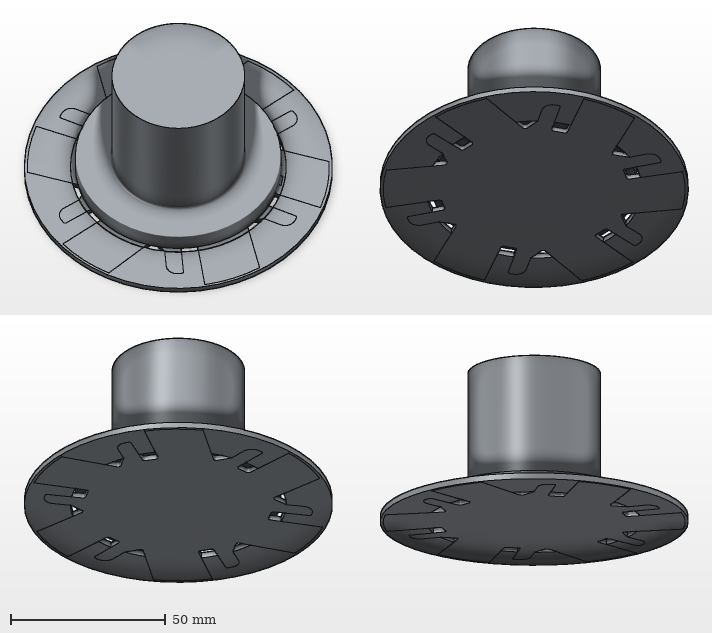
import cadquery as cq
import math

PLATE_DIAMETER = 99.9
PLATE_THICKNESS = 2.0
PLATE_HOLE_DIAMETER = 69.9
SKIN_THICKNESS = 0.25

TOTAL_HEIGHT = 50.0
GRIP_DIAMETER = 43.0
FLANGE_DIAMETER = 66.7
FLANGE_TOP = 7.7
FLANGE_EDGE_RADIUS = 0.2
ROOT_RADIUS = 0.8

SECTOR_COUNT = 6
SECTOR_ANGLE = 360.0 / SECTOR_COUNT
LUG_HEIGHT = PLATE_THICKNESS - SKIN_THICKNESS
BASE_DIAMETER = 60.9
BASE_SEAM_ANGLE = 20.0
NOTCH_ROOT_RADIUS = 1.0
NOTCH_ROOT_LIMIT = 32.0
LUG_ROOT_X = 20.0

WIDE_LUG_RADIUS = 48.9
WIDE_LUG_LOW_Y = 2.8
WIDE_LUG_LOW_SLOPE = 4.0
WIDE_LUG_HIGH_Y = 19.6
WIDE_LUG_HIGH_SLOPE = 8.5

FINGER_TIP_X = 43.5
FINGER_NEAR_Y = -1.7
FINGER_FAR_Y = -7.1
FINGER_TIP_NEAR_RADIUS = 0.7
FINGER_TIP_FAR_RADIUS = 3.5
FLARE_START_X = 34.3
FLARE_ANGLE = 30.0

GRIP_RADIUS = GRIP_DIAMETER / 2
FLANGE_RADIUS = FLANGE_DIAMETER / 2


def point_on_circle(radius, start_y, slope_angle):
    """Where a line through (LUG_ROOT_X, start_y) at slope_angle leaves a circle about the origin."""
    dx = math.cos(math.radians(slope_angle))
    dy = math.sin(math.radians(slope_angle))
    along = LUG_ROOT_X * dx + start_y * dy
    outside = LUG_ROOT_X**2 + start_y**2 - radius**2
    distance = -along + math.sqrt(along**2 - outside)
    return LUG_ROOT_X + distance * dx, start_y + distance * dy


def make_wide_lug():
    low_tip = point_on_circle(WIDE_LUG_RADIUS, WIDE_LUG_LOW_Y, WIDE_LUG_LOW_SLOPE)
    high_tip = point_on_circle(WIDE_LUG_RADIUS, WIDE_LUG_HIGH_Y, WIDE_LUG_HIGH_SLOPE)
    middle_angle = (math.atan2(low_tip[1], low_tip[0]) + math.atan2(high_tip[1], high_tip[0])) / 2
    tip_middle = (WIDE_LUG_RADIUS * math.cos(middle_angle), WIDE_LUG_RADIUS * math.sin(middle_angle))
    return (
        cq.Workplane("XY")
        .moveTo(LUG_ROOT_X, WIDE_LUG_LOW_Y)
        .lineTo(*low_tip)
        .threePointArc(tip_middle, high_tip)
        .lineTo(LUG_ROOT_X, WIDE_LUG_HIGH_Y)
        .close()
        .extrude(LUG_HEIGHT)
    )


def make_finger():
    flare_width = (FLARE_START_X - LUG_ROOT_X) * math.tan(math.radians(FLARE_ANGLE))
    outline = [
        (LUG_ROOT_X, FINGER_NEAR_Y),
        (FINGER_TIP_X, FINGER_NEAR_Y),
        (FINGER_TIP_X, FINGER_FAR_Y),
        (FLARE_START_X, FINGER_FAR_Y),
        (LUG_ROOT_X, FINGER_FAR_Y - flare_width),
    ]
    finger = cq.Workplane("XY").polyline(outline).close().extrude(LUG_HEIGHT)
    near_corner = cq.selectors.NearestToPointSelector((FINGER_TIP_X, FINGER_NEAR_Y, LUG_HEIGHT / 2))
    far_corner = cq.selectors.NearestToPointSelector((FINGER_TIP_X, FINGER_FAR_Y, LUG_HEIGHT / 2))
    finger = finger.edges("|Z").edges(near_corner).fillet(FINGER_TIP_NEAR_RADIUS)
    return finger.edges("|Z").edges(far_corner).fillet(FINGER_TIP_FAR_RADIUS)


def is_notch_root(edge):
    centre = edge.Center()
    return math.hypot(centre.x, centre.y) < NOTCH_ROOT_LIMIT


def make_lug_star():
    """Base disc with a wide lug and a finger in every sector."""
    base = cq.Workplane("XY").circle(BASE_DIAMETER / 2).extrude(LUG_HEIGHT)
    star = base.rotate((0, 0, 0), (0, 0, 1), BASE_SEAM_ANGLE)
    for sector in range(SECTOR_COUNT):
        for lug in (make_wide_lug(), make_finger()):
            star = star.union(lug.rotate((0, 0, 0), (0, 0, 1), sector * SECTOR_ANGLE))
    return star.edges("|Z").filter(is_notch_root).fillet(NOTCH_ROOT_RADIUS)


def make_root_ring(wall_radius, floor_z):
    """Ring that fillets the corner between a round wall and the level floor around it."""
    arc_centre_r = wall_radius + ROOT_RADIUS
    arc_centre_z = floor_z + ROOT_RADIUS
    arc_reach = ROOT_RADIUS * math.sqrt(0.5)
    overlap_r = wall_radius - ROOT_RADIUS
    return (
        cq.Workplane("XZ")
        .moveTo(overlap_r, floor_z)
        .lineTo(arc_centre_r, floor_z)
        .threePointArc((arc_centre_r - arc_reach, arc_centre_z - arc_reach), (wall_radius, arc_centre_z))
        .lineTo(overlap_r, arc_centre_z)
        .close()
        .revolve(360, (0, 0, 0), (0, 1, 0))
    )


def make_knob(lug_star):
    flange = (
        cq.Workplane("XY", origin=(0, 0, LUG_HEIGHT))
        .circle(FLANGE_RADIUS)
        .extrude(FLANGE_TOP - LUG_HEIGHT)
    )
    flange = flange.faces(">Z").edges().fillet(FLANGE_EDGE_RADIUS)
    grip = cq.Workplane("XY").circle(GRIP_RADIUS).extrude(TOTAL_HEIGHT)
    grip_foot = make_root_ring(GRIP_RADIUS, FLANGE_TOP)
    above_first_lug = make_wide_lug().translate((0, 0, LUG_HEIGHT))
    lug_root = make_root_ring(FLANGE_RADIUS, LUG_HEIGHT).intersect(above_first_lug)
    return lug_star.union(flange).union(grip).union(grip_foot).union(lug_root)


def make_plate(lug_star):
    """Ring with pockets open at the bottom that match the lugs."""
    ring = (
        cq.Workplane("XY")
        .circle(PLATE_DIAMETER / 2)
        .circle(PLATE_HOLE_DIAMETER / 2)
        .extrude(PLATE_THICKNESS)
    )
    return ring.cut(lug_star)


lug_star = make_lug_star()
knob = make_knob(lug_star)
plate = make_plate(lug_star)

result = cq.Compound.makeCompound([*knob.solids().vals(), *plate.solids().vals()])